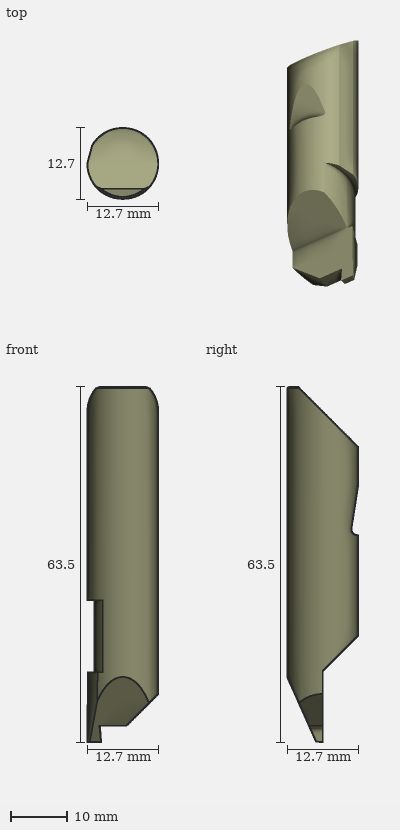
import cadquery as cq
import math

diameter = 12.7
radius = diameter / 2
length = 63.5
clear = 2 * diameter

top_flat_y = -4.5
rim_width = 0.4
rim_height = 0.35

flat_end_y = 3.2

clamp_top_z = 46.0
clamp_bottom_z = 37.0
clamp_depth = 1.4
clamp_radius = 1.0

head_height = diameter
band_bottom_z = 12.5
band_top_z = 25.4
band_depth = 1.25
band_back_y = 5.2
band_front_y = -5.25

tip_land = 1.15
front_relief_angle = 24.0
end_relief_angle = 6.0
side_relief_angle = 21.4
side_taper = 0.1
tip_inner_x = -3.85
tip_back_taper = 0.2
tip_inner_relief_angle = 3.0
tip_height = 2.95
nose_bevel_x = 0.65


def circle_x(y):
    """Half width of the shank at a given y."""
    return math.sqrt(radius**2 - y**2)


def tan_deg(angle):
    return math.tan(math.radians(angle))


def side_prism(points):
    """Prism through the whole part along X from a (y, z) outline."""
    return cq.Workplane("YZ").polyline(points).close().extrude(clear, both=True)


def shank():
    body = cq.Workplane("XY").circle(radius).extrude(length)
    return body.faces(">Z").edges().chamfer(rim_height, rim_width)


def top_slant():
    return side_prism([
        (top_flat_y, length),
        (top_flat_y + clear, length - clear),
        (top_flat_y + clear, length),
    ])


def long_flat():
    """Triangle outside the chord from (-radius, 0) to the circle at flat_end_y."""
    chord_end_x = -circle_x(flat_end_y)
    profile = [(-radius, 0), (chord_end_x, flat_end_y), (-radius, flat_end_y)]
    return cq.Workplane("XY").polyline(profile).close().extrude(length)


def clamp_notch():
    floor_y = radius - clamp_depth
    notch = side_prism([
        (radius, clamp_top_z),
        (floor_y, clamp_bottom_z),
        (clear, clamp_bottom_z),
        (clear, clamp_top_z),
    ])
    return notch.edges("|X").edges("<Y").fillet(clamp_radius)


def rake_cut():
    """Removes the +Y half of the head, rising at 45 degrees above the rake face."""
    return side_prism([
        (0, -clear),
        (0, head_height),
        (clear, head_height + clear),
        (clear, -clear),
    ])


def relieved_band():
    """Shallow band on the -X side, bounded by two arcs that meet tangentially at y = 0."""
    floor = cq.Vector(band_depth - radius, 0, band_bottom_z)

    def half_outline(edge_y):
        end = cq.Vector(-circle_x(edge_y), edge_y, band_bottom_z)
        tangent = cq.Vector(0, math.copysign(1, edge_y), 0)
        outer = cq.Vector(-clear, edge_y, band_bottom_z)
        return [cq.Edge.makeTangentArc(floor, tangent, end), cq.Edge.makeLine(end, outer)]

    outer_side = cq.Edge.makeLine(
        cq.Vector(-clear, band_front_y, band_bottom_z),
        cq.Vector(-clear, band_back_y, band_bottom_z),
    )
    edges = half_outline(band_front_y) + [outer_side] + half_outline(band_back_y)[::-1]
    outline = cq.Wire.assembleEdges(edges)
    return cq.Workplane("XY").add(outline).toPending().extrude(band_top_z - band_bottom_z)


def front_relief():
    drop = clear * tan_deg(front_relief_angle)
    return side_prism([
        (-tip_land, 0),
        (-tip_land - drop, clear),
        (-clear, clear),
        (-clear, 0),
    ])


def end_relief():
    """Lifts the end of the tip away from its cutting edge."""
    return side_prism([(0, 0), (-clear, clear * tan_deg(end_relief_angle)), (-clear, 0)])


def side_relief():
    """Slopes the -X side of the head inward, away from the rake face."""
    run = radius * tan_deg(side_relief_angle)

    def section(z, inset):
        edge_x = inset - radius
        return cq.Wire.makePolygon(
            [
                cq.Vector(edge_x, 0, z),
                cq.Vector(edge_x + run, -radius, z),
                cq.Vector(-clear, -radius, z),
                cq.Vector(-clear, 0, z),
            ],
            close=True,
        )

    sections = [section(0, 0), section(head_height, side_taper)]
    return cq.Workplane(cq.Solid.makeLoft(sections, True))


def nose_cut():
    """Clears the end of the head beside the tip and bevels its +X corner."""

    def section(y):
        shift = y * tan_deg(tip_inner_relief_angle)
        return cq.Wire.makePolygon(
            [
                cq.Vector(tip_inner_x + shift, y, 0),
                cq.Vector(tip_inner_x - tip_back_taper + shift, y, tip_height),
                cq.Vector(nose_bevel_x, y, tip_height),
                cq.Vector(nose_bevel_x + clear, y, tip_height + clear),
                cq.Vector(nose_bevel_x + clear, y, 0),
            ],
            close=True,
        )

    return cq.Workplane(cq.Solid.makeLoft([section(0), section(-radius)], True))


result = (
    shank()
    .cut(top_slant())
    .cut(long_flat())
    .cut(clamp_notch())
    .cut(rake_cut())
    .cut(relieved_band())
    .cut(front_relief())
    .cut(side_relief())
    .cut(nose_cut())
    .cut(end_relief())
)